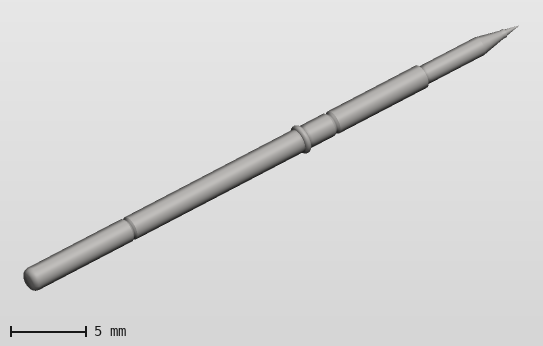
import cadquery as cq

total_length = 40.0
body_diameter = 1.65
body_radius = body_diameter / 2

needle_radius = 0.25
needle_end = 1.25
collar_radius = 0.3
collar_end = 1.5
sleeve_diameter = 1.3
sleeve_radius = sleeve_diameter / 2
cone_end = 3.3
sleeve_end = 8.0

grooves = ((15.35, 0.4), (31.85, 0.3))
groove_depth = 0.1

ring_diameter = 2.0
ring_centre = 17.8
ring_section_radius = 0.25

end_round = 0.45

tip_y = total_length / 2


def turned(stations):
    """Solid turned about the Y axis from (radius, distance from tip) points."""
    outline = [(radius, tip_y - distance) for radius, distance in stations]
    profile = cq.Workplane("XY").polyline(outline).close()
    return profile.revolve(360, (0, 0, 0), (0, 1, 0))


def main_body():
    """Plain cylinder behind the sleeve with its blunt end rounded."""
    shoulder = cq.Workplane("XZ", origin=(0, tip_y - sleeve_end, 0))
    cylinder = shoulder.circle(body_radius).extrude(total_length - sleeve_end)
    return cylinder.faces("<Y").edges().fillet(end_round)


def pointed_end():
    """Needle, collar, cone and sleeve as one turned solid."""
    return turned((
        (0, 0),
        (needle_radius, needle_end),
        (collar_radius, needle_end),
        (collar_radius, collar_end),
        (sleeve_radius, cone_end),
        (sleeve_radius, sleeve_end),
        (0, sleeve_end),
    ))


def groove_cutter(centre, width):
    """Triangular ring of material that leaves a V-shaped groove."""
    return turned((
        (body_radius, centre - width / 2),
        (body_radius - groove_depth, centre),
        (body_radius, centre + width / 2),
    ))


def round_ring():
    """Torus about the Y axis whose outer edge has the ring diameter."""
    orbit_radius = ring_diameter / 2 - ring_section_radius
    section = cq.Workplane("XY").center(orbit_radius, tip_y - ring_centre).circle(ring_section_radius)
    return section.revolve(360, (-orbit_radius, 0, 0), (-orbit_radius, 1, 0))


body = main_body()
for groove_centre, groove_width in grooves:
    body = body.cut(groove_cutter(groove_centre, groove_width))

result = body.union(round_ring()).union(pointed_end())